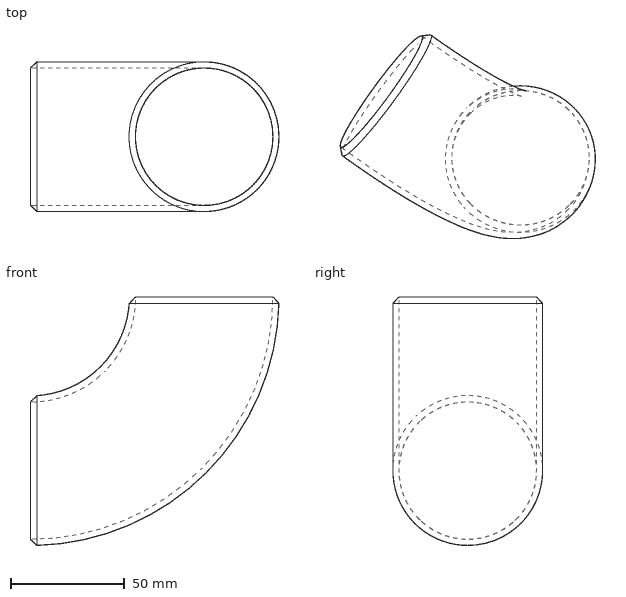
import cadquery as cq
import math

overall_length = 109.1
outer_diameter = 65.8
inner_diameter = 60.2
land_width = 0.1
bevel_length = 2.8
bend_angle = 90

outer_radius = outer_diameter / 2
inner_radius = inner_diameter / 2
mouth_radius = inner_radius + land_width
bend_radius = math.hypot(overall_length, bevel_length) - outer_radius
bevel_edge_radius = overall_length - bend_radius
bevel_slope = (bevel_edge_radius - mouth_radius) / bevel_length



def swept_bend(radius):
    """Solid quarter torus from the upward mouth to the sideways mouth."""
    return (
        cq.Workplane("XY")
        .center(bend_radius, 0)
        .circle(radius)
        .revolve(bend_angle, (-bend_radius, 0, 0), (-bend_radius, 1, 0))
    )


def bevel_cutter(mouth_plane):
    """Ring outside the bevel cone; the plane's normal points into the pipe."""
    clearance = outer_radius / 10
    cutter_radius = outer_radius + clearance
    cone_top = (cutter_radius - mouth_radius) / bevel_slope
    return (
        cq.Workplane("XZ")
        .polyline([(mouth_radius, 0), (cutter_radius, 0), (cutter_radius, cone_top)])
        .close()
        .revolve(360, (0, 0, 0), (0, 1, 0))
        .val()
        .moved(mouth_plane.location)
    )


elbow = swept_bend(outer_radius).cut(swept_bend(inner_radius))

upward_mouth = cq.Plane(origin=(bend_radius, 0, 0), xDir=(1, 0, 0), normal=(0, 0, -1))
sideways_mouth = cq.Plane(origin=(0, 0, -bend_radius), xDir=(0, 1, 0), normal=(1, 0, 0))
for mouth in (upward_mouth, sideways_mouth):
    elbow = elbow.cut(cq.Workplane(obj=bevel_cutter(mouth)))

result = elbow